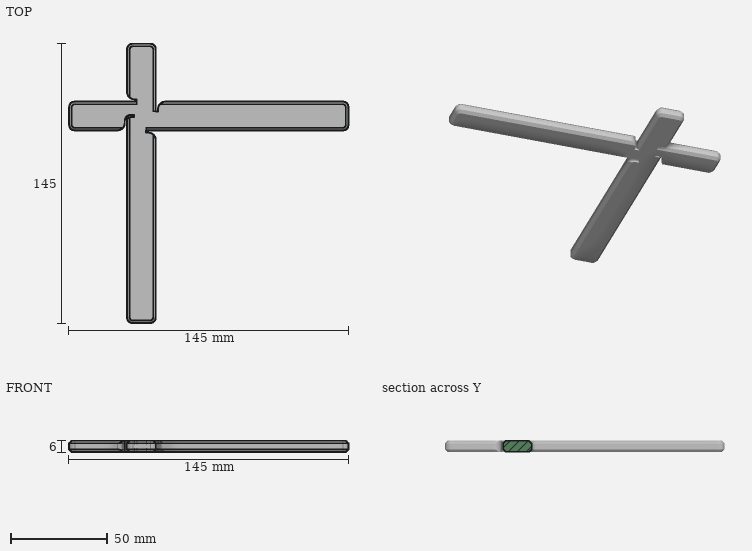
import cadquery as cq
import math

bar_length = 145.0
bar_width = 15.1
thickness = 6.0
stub_length = 30.0
corner_radius = 3.0
edge_chamfer = 1.5

gap = 1.0
relief_radius = 4.0
relief_depth = 5.1
hook_radius = 2.0
hook_depth = 3.8

half_width = bar_width / 2
hook_outer_radius = hook_radius + gap
hook_end = hook_depth - half_width
bar_shift = bar_length / 2 - stub_length - half_width
DIAGONAL = math.sqrt(0.5)


def make_bar():
    """Bar along X, its short end on the -X side of the crossing."""
    return (
        cq.Workplane("XY")
        .box(bar_length, bar_width, thickness)
        .edges("|Z")
        .fillet(corner_radius)
        .faces("|Z")
        .edges()
        .chamfer(edge_chamfer)
        .translate((bar_shift, 0, 0))
    )


def turn(shape, degrees):
    """Turn a shape clockwise about the centre of the crossing."""
    return shape.rotate((0, 0, 0), (0, 0, 1), -degrees)


def arc_middle(center_x, center_y, radius, side_x, side_y):
    """Middle point of a quarter arc, in the diagonal direction (side_x, side_y)."""
    return (center_x + side_x * radius * DIAGONAL, center_y + side_y * radius * DIAGONAL)


def cutter(outline):
    """Tool running through the full thickness."""
    return outline.close().extrude(thickness / 2, both=True)


def straight_relief():
    """Frees the Y bar from the X bar in the -X +Y corner, leaving the X bar's chamfer whole."""
    side = -half_width
    ledge = half_width + gap
    inner_end = side + relief_depth
    floor = half_width - 2 * edge_chamfer
    return cutter(
        cq.Workplane("XY")
        .moveTo(side, ledge + relief_radius)
        .threePointArc(
            arc_middle(side + relief_radius, ledge + relief_radius, relief_radius, -1, -1),
            (side + relief_radius, ledge),
        )
        .lineTo(inner_end, ledge)
        .lineTo(inner_end, floor)
        .lineTo(side, floor)
    )


def hook_outer_relief():
    """Cuts the X bar back to the outer side of the hooked slot in the -X -Y corner."""
    side = -half_width
    wall = side - gap
    top = gap / 2
    return cutter(
        cq.Workplane("XY")
        .moveTo(wall - relief_radius, side)
        .threePointArc(
            arc_middle(wall - relief_radius, side + relief_radius, relief_radius, 1, -1),
            (wall, side + relief_radius),
        )
        .lineTo(wall, top - hook_outer_radius)
        .threePointArc(
            arc_middle(wall + hook_outer_radius, top - hook_outer_radius, hook_outer_radius, -1, 1),
            (wall + hook_outer_radius, top),
        )
        .lineTo(hook_end, top)
        .lineTo(hook_end, side)
    )


def hook_inner_relief():
    """Cuts the Y bar back to the inner side of the hooked slot."""
    side = -half_width
    bottom = -gap / 2
    return cutter(
        cq.Workplane("XY")
        .moveTo(side, bottom - hook_radius)
        .threePointArc(
            arc_middle(side + hook_radius, bottom - hook_radius, hook_radius, -1, 1),
            (side + hook_radius, bottom),
        )
        .lineTo(hook_end, bottom)
        .lineTo(hook_end, gap / 2)
        .lineTo(side, gap / 2)
    )


x_bar = make_bar()
y_bar = turn(make_bar(), 90)

for degrees in (0, 180):
    y_bar = y_bar.cut(turn(straight_relief(), degrees))
x_bar = x_bar.cut(turn(straight_relief(), 90))

x_bar = x_bar.cut(hook_outer_relief())
y_bar = y_bar.cut(hook_inner_relief())

result = x_bar.union(y_bar)